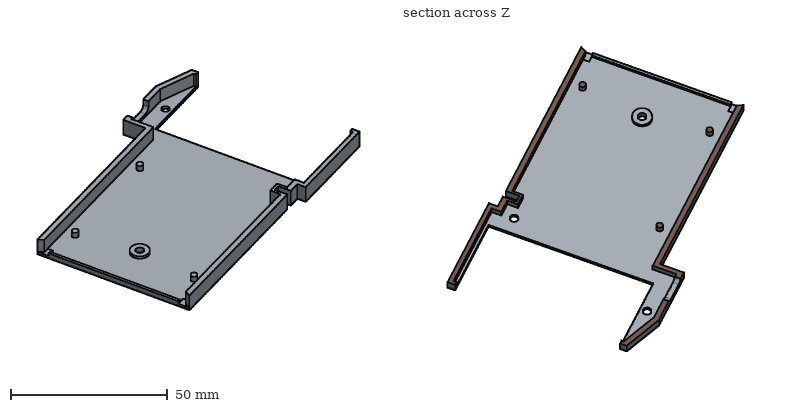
import cadquery as cq
import math

total_width = 67.9
total_length = 100.7
total_height = 6.0

floor_height = 1.05
corner_height = 1.0
lip_height = 2.0
boss_height = 2.0
pin_height = 3.1

body_left = 8.25
body_right = 64.8
shoulder_y = 67.2
side_wall = 2.0
thin_wall = 1.7
inner_left = body_left + side_wall
inner_right = body_right - side_wall
inner_shoulder_y = shoulder_y + thin_wall

floor_back_y = 73.8
left_arm_inner_x = 7.9
right_arm_width = 2.75
right_arm_inner_x = total_width - right_arm_width
left_arm_tip_width = 2.4
arm_taper_y = 87.4
arm_end_wall = 1.35

slot_floor_x = 60.1
slot_front_y = 60.9
slot_back_y = 63.1
slot_wall = 1.0

notch_front_y = 69.8
notch_back_y = 79.6
notch_floor_z = 2.1
notch_radius = 1.8

lip_thickness = 1.0
corner_width = 2.1
corner_depth = 3.0
wall_end_setback = 1.0

pin_diameter = 2.22
left_pin_x = 14.4
right_pin_x = 58.6
front_pin_y = 13.2
back_pin_y = 53.5
boss_diameter = 6.5
boss_hole_diameter = 2.75
boss_x = (body_left + body_right) / 2
boss_y = 16.4
mount_hole_diameter = 2.75
left_mount_hole = (5.45, 84.4)
right_mount_hole = (58.65, 68.2)


def prism(points, bottom, top):
    """Upright prism with the given plan outline."""
    return cq.Workplane("XY").workplane(offset=bottom).polyline(points).close().extrude(top - bottom)


def box(x_min, x_max, y_min, y_max, bottom, top):
    """Upright block between the given limits."""
    corners = [(x_min, y_min), (x_max, y_min), (x_max, y_max), (x_min, y_max)]
    return prism(corners, bottom, top)


def cylinder(x, y, diameter, bottom, top):
    """Upright cylinder."""
    base = cq.Workplane("XY").workplane(offset=bottom).center(x, y)
    return base.circle(diameter / 2).extrude(top - bottom)


def outer_block():
    """Full-height block with the outside outline of the tray and its arms."""
    outline = [
        (body_left, 0),
        (body_right, 0),
        (body_right, slot_front_y),
        (slot_floor_x, slot_front_y),
        (slot_floor_x, slot_back_y),
        (body_right, slot_back_y),
        (body_right, shoulder_y),
        (total_width, shoulder_y),
        (total_width, total_length),
        (right_arm_inner_x, total_length),
        (right_arm_inner_x, floor_back_y),
        (left_arm_inner_x, floor_back_y),
        (left_arm_inner_x, total_length),
        (left_arm_inner_x - left_arm_tip_width, total_length),
        (0, arm_taper_y),
        (0, shoulder_y),
        (body_left, shoulder_y),
    ]
    return prism(outline, 0, total_height)


def inner_cavity():
    """Space above the floor, inside the walls and open at the front and back."""
    taper_dx = left_arm_inner_x - left_arm_tip_width
    taper_dy = total_length - arm_taper_y
    taper_length = math.hypot(taper_dx, taper_dy)
    cavity_end_y = total_length - arm_end_wall
    inner_taper_y = arm_taper_y + side_wall * (taper_dy - taper_length) / taper_dx
    inner_tip_x = side_wall + (cavity_end_y - inner_taper_y) * taper_dx / taper_dy
    outline = [
        (body_left, 0),
        (inner_left, wall_end_setback),
        (inner_left, inner_shoulder_y),
        (side_wall, inner_shoulder_y),
        (side_wall, inner_taper_y),
        (inner_tip_x, cavity_end_y),
        (left_arm_inner_x, cavity_end_y),
        (left_arm_inner_x, floor_back_y),
        (right_arm_inner_x, floor_back_y),
        (right_arm_inner_x, cavity_end_y),
        (total_width - thin_wall, cavity_end_y),
        (total_width - thin_wall, inner_shoulder_y),
        (inner_right, inner_shoulder_y),
        (inner_right, slot_back_y + slot_wall),
        (slot_floor_x - slot_wall, slot_back_y + slot_wall),
        (slot_floor_x - slot_wall, slot_front_y - slot_wall),
        (inner_right, slot_front_y - slot_wall),
        (inner_right, wall_end_setback),
        (body_right, 0),
    ]
    return prism(outline, floor_height, total_height)


def front_corner_recesses():
    """Shallow recesses between the lip and the side walls, reaching below the slanted wall ends."""
    left = [
        (body_left, 0),
        (inner_left + corner_width, 0),
        (inner_left + corner_width, corner_depth),
        (inner_left, corner_depth),
        (inner_left, wall_end_setback),
    ]
    right = [(body_left + body_right - x, y) for x, y in left]
    return prism(left, corner_height, total_height).union(prism(right, corner_height, total_height))


def front_lip():
    """Low lip along the front edge between the corner recesses."""
    lip_left = inner_left + corner_width
    lip_right = inner_right - corner_width
    return box(lip_left, lip_right, 0, lip_thickness, 0, lip_height)


def arm_notch():
    """Round-bottomed notch through the top of the left arm wall."""
    notch = box(0, side_wall, notch_front_y, notch_back_y, notch_floor_z, total_height)
    return notch.edges("|X and <Z").fillet(notch_radius)


def pins():
    """Locating pins on the floor."""
    places = [(left_pin_x, front_pin_y), (right_pin_x, front_pin_y), (left_pin_x, back_pin_y)]
    group = cq.Workplane("XY")
    for x, y in places:
        group = group.union(cylinder(x, y, pin_diameter, 0, pin_height))
    return group


result = outer_block().cut(inner_cavity()).cut(front_corner_recesses()).cut(arm_notch())
result = result.union(front_lip()).union(pins())
result = result.union(cylinder(boss_x, boss_y, boss_diameter, 0, boss_height))
result = result.cut(cylinder(boss_x, boss_y, boss_hole_diameter, 0, boss_height))
for hole_x, hole_y in (left_mount_hole, right_mount_hole):
    result = result.cut(cylinder(hole_x, hole_y, mount_hole_diameter, 0, floor_height))